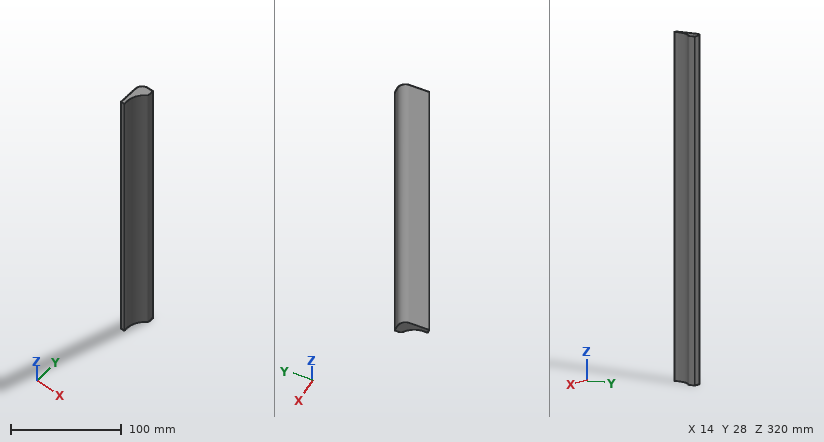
import cadquery as cq
import math

width = 14.0
depth = 28.0
length = 320.0

tip_thickness = 4.0
tip_straight = 4.0
hollow_radius = 20.0
back_radius = 8.0
nose_radius = 4.0

hollow_center_x = tip_thickness + hollow_radius


def hollow_point(x):
    """Point on the hollow's arc at the given x."""
    rise = math.sqrt(hollow_radius**2 - (hollow_center_x - x) ** 2)
    return (x, tip_straight + rise)


def molding_blank():
    """Extrude the cross-section with its outer corners still sharp."""
    hollow_end = hollow_point(width)
    hollow_middle = hollow_point((tip_thickness + width) / 2)
    profile = (
        cq.Workplane("XY")
        .lineTo(tip_thickness, 0)
        .lineTo(tip_thickness, tip_straight)
        .threePointArc(hollow_middle, hollow_end)
        .lineTo(width, depth)
        .lineTo(0, depth)
        .close()
    )
    return profile.extrude(length)


def round_long_edge(body, x, y, radius):
    """Round the full-length edge that passes through (x, y)."""
    edge = cq.selectors.NearestToPointSelector((x, y, length / 2))
    return body.edges("|Z").edges(edge).fillet(radius)


result = molding_blank()
result = round_long_edge(result, 0, depth, back_radius)
result = round_long_edge(result, *hollow_point(width), nose_radius)